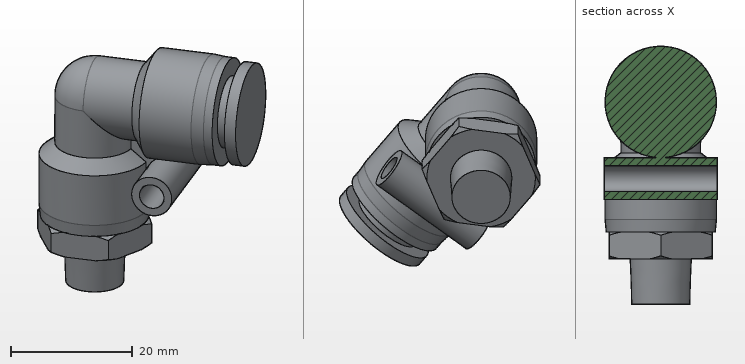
import cadquery as cq
import math

total_height = 42.6
body_diameter = 18.4
body_radius = body_diameter / 2
elbow_z = total_height - body_radius
neck_radius = 6.6

neck_end = 8.4
shoulder_end = 10.45
taper_start = 19.4
body_end = 21.45
rim_radius = 18.0 / 2

cap_end = 22.95
groove_end = 24.95
collar_end = 26.9
groove_radius = 12.0 / 2
collar_radius = 17.2 / 2

hex_flats = 17.05
hex_corners = hex_flats / math.cos(math.pi / 6)
hex_bottom = 7.5
hex_top = elbow_z - body_end
hex_height = hex_top - hex_bottom
hex_face_radius = 8.95
hex_chamfer = (hex_corners / 2 - hex_face_radius) * math.tan(math.pi / 6)
stem_end_radius = 9.63 / 2
stem_root_radius = 10.15 / 2

sleeve_radius = 6.9 / 2
sleeve_bore = 4.2
sleeve_length = 18.7
sleeve_offset = body_radius + sleeve_radius
web_thickness = 2.0


def revolve_profile(points):
    """Revolve a closed (radius, distance) outline about the Z axis."""
    return cq.Workplane("XZ").polyline(points).close().revolve(360, (0, 0, 0), (0, 1, 0))


def make_socket():
    """Neck, conical shoulder and tapered body, growing up from the corner centre."""
    return revolve_profile([
        (0, 0),
        (neck_radius, 0),
        (neck_radius, neck_end),
        (body_radius, shoulder_end),
        (body_radius, taper_start),
        (rim_radius, body_end),
        (0, body_end),
    ])


def make_collar():
    """End cap, groove and release flange, on the same axis as the socket."""
    return revolve_profile([
        (0, body_end),
        (rim_radius, body_end),
        (rim_radius, cap_end),
        (groove_radius, cap_end),
        (groove_radius, groove_end),
        (collar_radius, groove_end),
        (collar_radius, collar_end),
        (0, collar_end),
    ])


def make_hexagon():
    """Hexagon with corners on the X axis, chamfered on both faces."""
    blank = cq.Workplane("XY").workplane(offset=hex_bottom).polygon(6, hex_corners).extrude(hex_height)
    chamfer_envelope = revolve_profile([
        (0, hex_bottom),
        (hex_face_radius, hex_bottom),
        (hex_corners / 2, hex_bottom + hex_chamfer),
        (hex_corners / 2, hex_top - hex_chamfer),
        (hex_face_radius, hex_top),
        (0, hex_top),
    ])
    return blank.intersect(chamfer_envelope)


def make_stem():
    """Tapered stem, narrowest at its lower end."""
    return revolve_profile([
        (0, 0),
        (stem_end_radius, 0),
        (stem_root_radius, hex_bottom),
        (0, hex_bottom),
    ])


def make_sleeve():
    """Cylinder along Y in the inside corner of the elbow."""
    return (
        cq.Workplane("XZ")
        .center(sleeve_offset, elbow_z - sleeve_offset)
        .circle(sleeve_radius)
        .extrude(sleeve_length / 2, both=True)
    )


def make_sleeve_bore():
    """Through hole of the sleeve."""
    return (
        cq.Workplane("XZ")
        .center(sleeve_offset, elbow_z - sleeve_offset)
        .circle(sleeve_bore / 2)
        .extrude(sleeve_length / 2, both=True)
    )


def make_web():
    """Square plate from the corner centre to the sleeve axis."""
    return (
        cq.Workplane("XY")
        .box(sleeve_offset, web_thickness, sleeve_offset, centered=(False, True, False))
        .translate((0, 0, elbow_z - sleeve_offset))
    )


vertical_socket = make_socket().rotate((0, 0, 0), (1, 0, 0), 180).translate((0, 0, elbow_z))
horizontal_socket = (
    make_socket()
    .union(make_collar())
    .rotate((0, 0, 0), (0, 1, 0), 90)
    .translate((0, 0, elbow_z))
)
corner = cq.Workplane("XY").sphere(neck_radius).translate((0, 0, elbow_z))

result = (
    vertical_socket
    .union(horizontal_socket)
    .union(corner)
    .union(make_hexagon())
    .union(make_stem())
    .union(make_web())
    .union(make_sleeve())
    .cut(make_sleeve_bore())
)